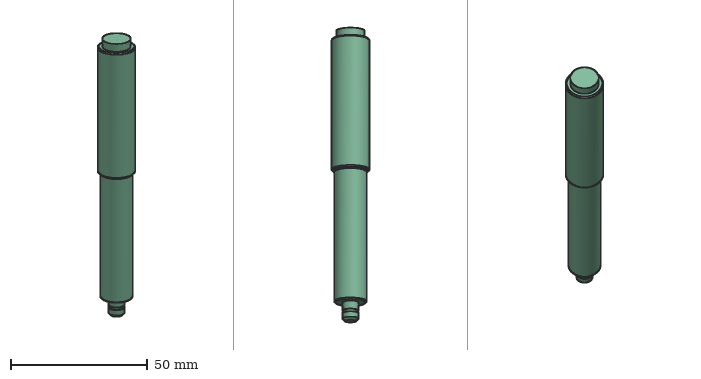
import cadquery as cq

TOTAL_LENGTH = 110.0
SLEEVE_DIAMETER = 14.0
BARREL_DIAMETER = 12.0
EDGE_CHAMFER = 0.5

STUD_DIAMETER = 6.0
STUD_LENGTH = 7.0
STUD_TIP_CHAMFER = 1.0
GROOVE_OFFSET = 3.0
GROOVE_WIDTH = 1.0
GROOVE_DEPTH = 0.5

BUTTON_DIAMETER = 10.5
BUTTON_LENGTH = 3.1

section_length = (TOTAL_LENGTH - STUD_LENGTH - BUTTON_LENGTH) / 2

barrel_bottom = STUD_LENGTH
sleeve_bottom = barrel_bottom + section_length
sleeve_top = sleeve_bottom + section_length


def cylinder(diameter, length, bottom):
    """Upright cylinder on the common axis."""
    return cq.Workplane("XY").workplane(offset=bottom).circle(diameter / 2).extrude(length)


def chamfered_section(diameter, bottom):
    """Main cylinder with both end edges broken."""
    return cylinder(diameter, section_length, bottom).edges("%CIRCLE").chamfer(EDGE_CHAMFER)


def make_stud():
    """Stud with a tapered tip and a retaining groove."""
    stud = cylinder(STUD_DIAMETER, STUD_LENGTH, 0).faces("<Z").chamfer(STUD_TIP_CHAMFER)
    groove_bottom = barrel_bottom - GROOVE_OFFSET - GROOVE_WIDTH
    groove = (
        cq.Workplane("XY")
        .workplane(offset=groove_bottom)
        .circle(STUD_DIAMETER / 2)
        .circle(STUD_DIAMETER / 2 - GROOVE_DEPTH)
        .extrude(GROOVE_WIDTH)
    )
    return stud.cut(groove)


def make_barrel():
    """Lower section with its integral stud."""
    return chamfered_section(BARREL_DIAMETER, barrel_bottom).union(make_stud())


def make_sleeve():
    """Wider upper section, resting on the barrel."""
    return chamfered_section(SLEEVE_DIAMETER, sleeve_bottom)


def make_button():
    """Plain disc resting on the sleeve."""
    return cylinder(BUTTON_DIAMETER, BUTTON_LENGTH, sleeve_top)


barrel = make_barrel()
sleeve = make_sleeve()
button = make_button()

result = cq.Compound.makeCompound([barrel.val(), sleeve.val(), button.val()])